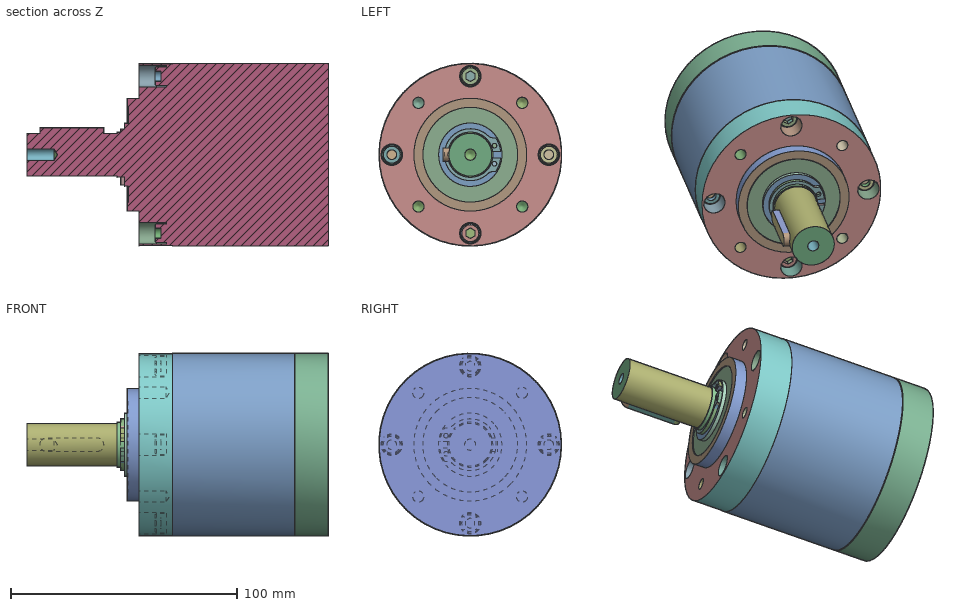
import cadquery as cq
import math

COLLAR_START = 40.0
RING_START = 41.5
WASHER_START = 43.2
PILOT_START = 44.4
FLANGE_START = 49.5
FLANGE_END = 64.5
CAP_START = 118.5
CAP_END = 133.6

BODY_DIAMETER = 81.0
FLANGE_DIAMETER = 80.7
SHAFT_DIAMETER = 19.0
COLLAR_DIAMETER = 20.0
WASHER_DIAMETER = 28.0
PILOT_DIAMETER = 50.0
SEAL_DIAMETER = 42.0
SEAL_RECESS_DEPTH = 0.5
JOINT_CHAMFER = 0.3

KEY_START = 5.7
KEY_LENGTH = 28.3
KEY_WIDTH = 6.0
KEY_TOP = 12.0

RING_DIAMETER = 23.0
LUG_REACH = 13.5
LUG_HALF_HEIGHT = 7.5
LUG_FILLET = 2.8
RING_GAP = 3.0
PLIER_HOLE_DIAMETER = 2.0
PLIER_HOLE_Y = -10.7
PLIER_HOLE_Z = 4.0

DRILL_DIAMETER = 5.0
DRILL_DEPTH = 12.0
DRILL_POINT_ANGLE = 118
MOUNT_CIRCLE_RADIUS = 32.5

SCREW_CIRCLE_RADIUS = 34.7
COUNTERBORE_DIAMETER = 9.5
COUNTERBORE_DEPTH = 12.2
HEAD_DIAMETER = 8.5
HEAD_HEIGHT = 5.0
HEAD_CHAMFER = 0.5
SOCKET_DEPTH = 2.5
HEX_ACROSS_CORNERS = 4.7
ROUND_SOCKET_DIAMETER = 4.3


def section(x):
    """Sketch plane across the axis at x, facing +X, with local x along +Y."""
    return cq.Workplane("YZ", origin=(x, 0, 0))


def disk(diameter, start, end):
    return section(start).circle(diameter / 2).extrude(end - start)


def on_circle(radius, angle):
    """Y and Z of a point on a bolt circle."""
    return radius * math.cos(math.radians(angle)), radius * math.sin(math.radians(angle))


def drilled_hole(x, y, z):
    """Tool for a blind hole opening toward -X, with a conical drill point."""
    radius = DRILL_DIAMETER / 2
    point_length = radius / math.tan(math.radians(DRILL_POINT_ANGLE / 2))
    profile = [(0, 0), (0, radius), (DRILL_DEPTH, radius), (DRILL_DEPTH + point_length, 0)]
    return (
        cq.Workplane("XY")
        .polyline(profile)
        .close()
        .revolve(360, (0, 0, 0), (1, 0, 0))
        .translate((x, y, z))
    )


def turned_body():
    """Shaft, collar, washer, pilot and the three housing sections."""
    body = disk(SHAFT_DIAMETER, 0, PILOT_START + SEAL_RECESS_DEPTH)
    pilot = disk(PILOT_DIAMETER, PILOT_START, FLANGE_START)
    pilot = pilot.cut(disk(SEAL_DIAMETER, PILOT_START, PILOT_START + SEAL_RECESS_DEPTH))
    body = body.union(pilot)
    body = body.union(disk(COLLAR_DIAMETER, COLLAR_START, FLANGE_START))
    body = body.union(disk(WASHER_DIAMETER, WASHER_START, FLANGE_START))
    body = body.union(disk(FLANGE_DIAMETER, FLANGE_START, FLANGE_END), clean=False)
    body = body.union(disk(BODY_DIAMETER, FLANGE_END, CAP_START), clean=False)
    cap = disk(BODY_DIAMETER, CAP_START, CAP_END).edges().chamfer(JOINT_CHAMFER)
    return body.union(cap, clean=False)


def shaft_key():
    return (
        cq.Workplane("XZ", origin=(KEY_START + KEY_LENGTH / 2, 0, 0))
        .slot2D(KEY_LENGTH, KEY_WIDTH)
        .extrude(-KEY_TOP)
    )


def retaining_ring():
    thickness = WASHER_START - RING_START
    lugs = disk(2 * LUG_REACH, RING_START, WASHER_START).intersect(
        section(RING_START)
        .center(-LUG_REACH / 2, 0)
        .rect(LUG_REACH, 2 * LUG_HALF_HEIGHT)
        .extrude(thickness)
    )
    ring = disk(RING_DIAMETER, RING_START, WASHER_START).union(lugs)
    lug_root_y = -math.sqrt((RING_DIAMETER / 2) ** 2 - LUG_HALF_HEIGHT**2)
    for side in (-1, 1):
        root = (RING_START + thickness / 2, lug_root_y, side * LUG_HALF_HEIGHT)
        ring = ring.edges(cq.selectors.NearestToPointSelector(root)).fillet(LUG_FILLET)
    gap = section(RING_START).center(-LUG_REACH, 0).rect(2 * LUG_REACH, RING_GAP).extrude(thickness)
    plier_holes = (
        section(RING_START)
        .pushPoints([(PLIER_HOLE_Y, -PLIER_HOLE_Z), (PLIER_HOLE_Y, PLIER_HOLE_Z)])
        .circle(PLIER_HOLE_DIAMETER / 2)
        .extrude(thickness)
    )
    return ring.cut(gap).cut(plier_holes)


def screw_head(hexagonal):
    """Chamfered cap-screw head on the X axis, seated on the counterbore floor."""
    seat = FLANGE_START + COUNTERBORE_DEPTH
    top = seat - HEAD_HEIGHT
    head = disk(HEAD_DIAMETER, top, seat).faces("<X").chamfer(HEAD_CHAMFER)
    if hexagonal:
        socket = (
            section(top)
            .transformed(rotate=(0, 0, 90))
            .polygon(6, HEX_ACROSS_CORNERS)
            .extrude(SOCKET_DEPTH)
        )
    else:
        socket = disk(ROUND_SOCKET_DIAMETER, top, top + SOCKET_DEPTH)
    return head.cut(socket)


result = turned_body().union(shaft_key(), clean=False).union(retaining_ring(), clean=False)

result = result.cut(drilled_hole(0, 0, 0), clean=False)
for angle in (45, 135, 225, 315):
    hole_y, hole_z = on_circle(MOUNT_CIRCLE_RADIUS, angle)
    result = result.cut(drilled_hole(FLANGE_START, hole_y, hole_z), clean=False)

counterbore = disk(COUNTERBORE_DIAMETER, FLANGE_START, FLANGE_START + COUNTERBORE_DEPTH)
for angle in (0, 90, 180, 270):
    screw_y, screw_z = on_circle(SCREW_CIRCLE_RADIUS, angle)
    head = screw_head(hexagonal=angle in (90, 270))
    result = result.cut(counterbore.translate((0, screw_y, screw_z)), clean=False)
    result = result.union(head.translate((0, screw_y, screw_z)), clean=False)